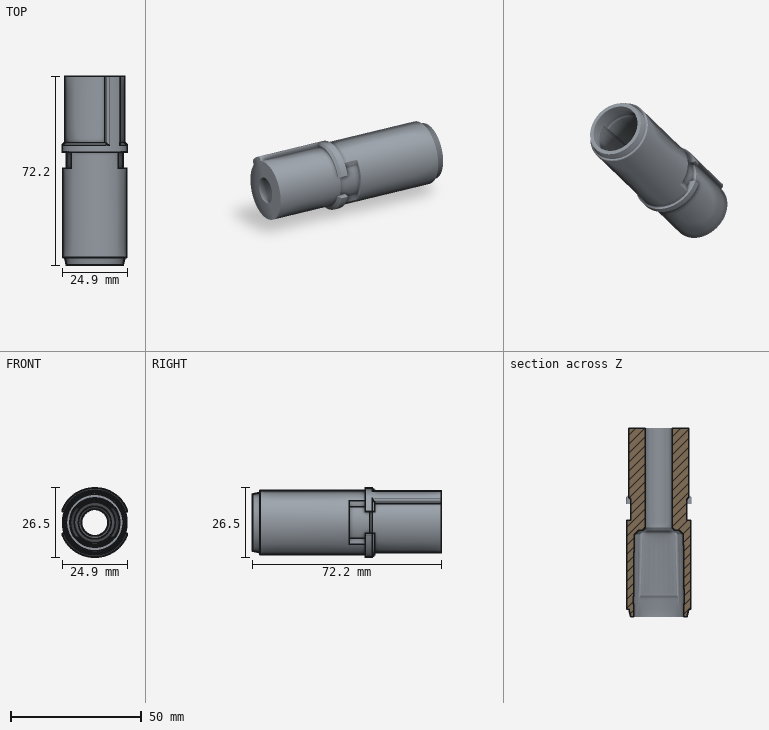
import cadquery as cq
import math

length = 72.2

mouth_radius = 10.85
mouth_base_radius = 11.5
body_radius = 12.3
neck_radius = 10.85
rear_radius = 11.53
flange_radius = 13.25

nose_length = 2.8
body_chamfer = 0.25
notch_start = 37.05
flange_start = 43.15
neck_end = 44.95
rear_start = 45.75
flange_chamfer = 1.0

notch_wall_x = 9.05
flange_gap_half_width = 4.1
flange_gap_rounding = 0.4

rib_angle = 55.0
rib_half_width = 3.2
rib_rounding = 1.0

bore_radius = 9.4
step_start = 7.45
step_end = 8.15
step_radius = 9.06
draft_end_radius = 8.45
seat_depth = 33.0
seat_outer_radius = 7.8
seat_inner_radius = 6.25
through_radius = 5.05

channel_start = 5.0
channel_half_width = 5.7
channel_rounding = 0.6
channel_start_radius = 9.6
channel_end_radius = 9.3


def revolve_profile(points):
    """Turn (radius, station) points around the Y axis."""
    return cq.Workplane("XY").polyline(points).close().revolve(360, (0, 0, 0), (0, 1, 0))


def cylinder(radius, start, end):
    return revolve_profile([(0, start), (radius, start), (radius, end), (0, end)])


def box_between(x_range, y_range, z_range):
    size = [high - low for low, high in (x_range, y_range, z_range)]
    corner = (x_range[0], y_range[0], z_range[0])
    return cq.Workplane("XY").box(*size, centered=False).translate(corner)


def outer_core():
    return revolve_profile([
        (0, 0),
        (mouth_radius, 0),
        (mouth_base_radius, nose_length),
        (body_radius - body_chamfer, nose_length),
        (body_radius, nose_length + body_chamfer),
        (body_radius, flange_start),
        (neck_radius, flange_start),
        (neck_radius, neck_end),
        (rear_radius, rear_start),
        (rear_radius, length),
        (0, length),
    ])


def side_notches():
    """Cutters outside the neck, each bounded by a flat wall parallel to YZ."""
    ring = cylinder(flange_radius, notch_start, flange_start)
    ring = ring.cut(cylinder(neck_radius, notch_start, flange_start))
    middle = box_between(
        (-notch_wall_x, notch_wall_x),
        (notch_start, flange_start),
        (-flange_radius, flange_radius),
    )
    return ring.cut(middle)


def flange():
    """Flange in two arcs, rounded where they border the side gaps."""
    flange_back = rear_start + flange_chamfer
    disc = cylinder(flange_radius, flange_start, flange_back)
    gap = box_between(
        (-flange_radius, flange_radius),
        (flange_start, flange_back),
        (-flange_gap_half_width, flange_gap_half_width),
    )
    arcs = disc.cut(gap)
    tip_x = math.sqrt(flange_radius**2 - flange_gap_half_width**2)
    for x in (-tip_x, tip_x):
        for z in (-flange_gap_half_width, flange_gap_half_width):
            tip = cq.selectors.NearestToPointSelector((x, (flange_start + flange_back) / 2, z))
            arcs = arcs.edges("|Y").edges(tip).fillet(flange_gap_rounding)
    envelope = revolve_profile([
        (0, flange_start),
        (flange_radius, flange_start),
        (flange_radius, rear_start),
        (flange_radius - flange_chamfer, flange_back),
        (0, flange_back),
    ])
    return arcs.intersect(envelope)


def key_rib():
    """Rib with parallel flanks and rounded edges, flush with the flange rim."""
    slab = box_between((0, flange_radius), (rear_start, length), (-rib_half_width, rib_half_width))
    rib = slab.intersect(cylinder(flange_radius, rear_start, length))
    edge_x = math.sqrt(flange_radius**2 - rib_half_width**2)
    for z in (-rib_half_width, rib_half_width):
        edge = cq.selectors.NearestToPointSelector((edge_x, (rear_start + length) / 2, z))
        rib = rib.edges("|Y").edges(edge).fillet(rib_rounding)
    return rib.rotate((0, 0, 0), (0, 1, 0), -rib_angle)


def bore():
    """Stepped bore with 45 degree cones above and below the flat seat."""
    draft_end = seat_depth - (draft_end_radius - seat_outer_radius)
    return revolve_profile([
        (0, 0),
        (bore_radius, 0),
        (bore_radius, step_start),
        (step_radius, step_end),
        (draft_end_radius, draft_end),
        (seat_outer_radius, seat_depth),
        (seat_inner_radius, seat_depth),
        (through_radius, seat_depth + seat_inner_radius - through_radius),
        (through_radius, length),
        (0, length),
    ])


def bore_channels():
    """Round-cornered channels left and right of the axis, ending on the seat cone."""
    cone_start = seat_depth - (channel_end_radius - seat_outer_radius)
    drafted_bore = revolve_profile([
        (0, channel_start),
        (channel_start_radius, channel_start),
        (channel_end_radius, cone_start),
        (0, cone_start),
    ])
    slab = box_between(
        (-channel_start_radius, channel_start_radius),
        (channel_start, cone_start),
        (-channel_half_width, channel_half_width),
    )
    channels = drafted_bore.intersect(slab)
    middle_radius = (channel_start_radius + channel_end_radius) / 2
    middle_y = (channel_start + cone_start) / 2
    corner_x = math.sqrt(middle_radius**2 - channel_half_width**2)
    for x in (-corner_x, corner_x):
        for z in (-channel_half_width, channel_half_width):
            corner = cq.selectors.NearestToPointSelector((x, middle_y, z))
            channels = channels.edges(corner).fillet(channel_rounding)
    return channels.union(seat_cone(cone_start))


def seat_cone(cone_start):
    """The ends of the channels, narrowing at 45 degrees onto the flat seat."""
    cone = revolve_profile([
        (0, cone_start),
        (channel_end_radius, cone_start),
        (seat_outer_radius, seat_depth),
        (0, seat_depth),
    ])
    slab = box_between(
        (-channel_end_radius, channel_end_radius),
        (cone_start, seat_depth),
        (-channel_half_width, channel_half_width),
    )
    return cone.intersect(slab)


result = (
    outer_core()
    .cut(side_notches())
    .union(flange())
    .union(key_rib())
    .cut(bore())
    .cut(bore_channels())
)